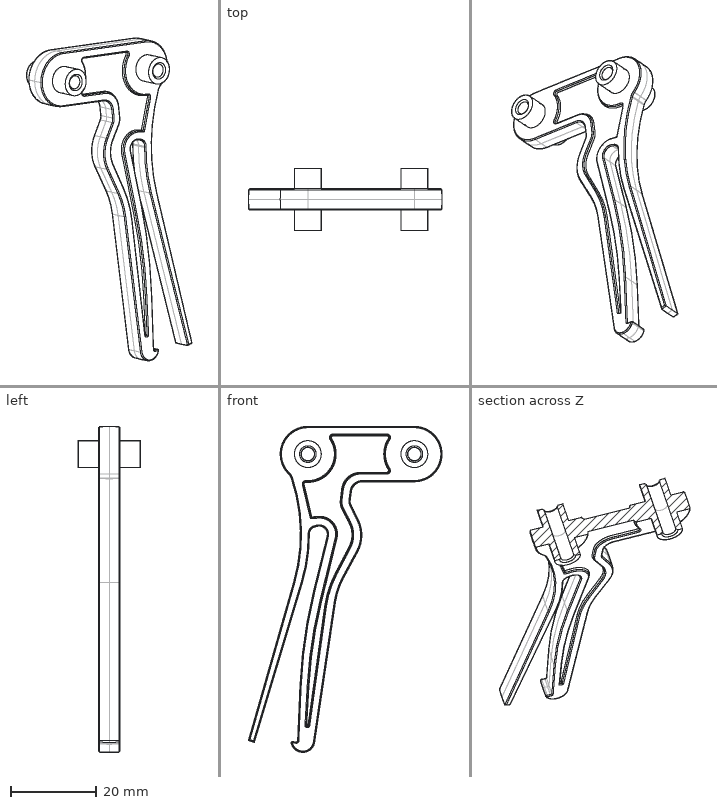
import cadquery as cq
import math

pivot_spacing = 25.0
head_radius = 6.5
head_left_sweep = math.radians(136.0)
body_thickness = 5.0
overall_width = 14.6
body_draft = 1.0
edge_chamfer = 0.25

pivot_radius = 3.15
bore_radius = 1.55
bore_countersink = 0.4

pocket_depth = 0.7
pocket_rim_chamfer = 0.25
pocket_draft = 20.0
pocket_half_height = 4.27
pocket_boss_radius = 6.65
pocket_right_arc_inset = 0.55
pocket_corner_radius = 0.4

hook_radius = 2.8
hook_bottom = -70.0

half_thickness = body_thickness / 2
half_width = overall_width / 2
head_end = pivot_spacing + head_radius
pivot_centers = [(0, 0), (pivot_spacing, 0)]
pocket_arc_centers = (0, pivot_spacing - pocket_right_arc_inset)

body_corners = [
    (-head_radius * math.tan(head_left_sweep / 2), head_radius, head_radius),
    (-4.09, -5.08, 2.15),
    (0.14, -17.87, 41.3),
    (-13.95, -67.2, 0),
    (-12.55, -67.65, 0),
    (0.39, -24.59, 37.9),
    (0.36, -17.47, 1.6),
    (5.33, -16.05, 1.95),
    (-1.39, -43.19, 114.0),
    (-2.42, -67.6, 0.3),
    (-4.07, -67.4, 0.35),
    (-3.2, hook_bottom, hook_radius),
    (1.24, hook_bottom, hook_radius),
    (6.93, -31.73, 17.5),
    (13.70, -19.21, 8.15),
    (9.87, -11.41, 1.8),
    (10.51, -head_radius, 2.6),
    (head_end, -head_radius, head_radius),
    (head_end, head_radius, head_radius),
]

pocket_corners = [
    (-1.5, pocket_half_height, 0),
    (-1.5, -4.5, 0),
    (0.93, -14.75, 0),
    (8.23, -14.02, 4.2),
    (0.83, -44.42, 108.0),
    (-0.27, -63.7, 0),
    (0.03, -63.7, 0),
    (4.51, -31.67, 23.8),
    (11.12, -18.97, 6.15),
    (7.47, -11.92, 3.7),
    (8.42, -pocket_half_height, 4.5),
    (pivot_spacing, -pocket_half_height, 0),
    (pivot_spacing, pocket_half_height, 0),
]


def unit(start, end):
    length = math.dist(start, end)
    return ((end[0] - start[0]) / length, (end[1] - start[1]) / length)


def corner_arc(before, corner, after):
    """Start, middle and end of the arc that rounds one corner."""
    point, radius = corner[:2], corner[2]
    back = unit(point, before[:2])
    ahead = unit(point, after[:2])
    half_angle = math.acos(back[0] * ahead[0] + back[1] * ahead[1]) / 2
    bisector = unit((0, 0), (back[0] + ahead[0], back[1] + ahead[1]))
    tangent = radius / math.tan(half_angle)
    to_middle = radius / math.sin(half_angle) - radius

    def along(direction, distance):
        return (point[0] + direction[0] * distance, point[1] + direction[1] * distance)

    return along(back, tangent), along(bisector, to_middle), along(ahead, tangent)


def rounded_outline(corners):
    """Closed wire of straight lines with every corner rounded to its own radius."""
    count = len(corners)
    arcs = [
        corner_arc(corners[i - 1], corners[i], corners[(i + 1) % count]) for i in range(count)
    ]
    edges = []
    for i, (start, middle, end) in enumerate(arcs):
        previous_end = arcs[i - 1][2]
        if math.dist(previous_end, start) > 1e-3:
            edges.append(cq.Edge.makeLine(cq.Vector(*previous_end), cq.Vector(*start)))
        else:
            start = previous_end
        if corners[i][2] > 0:
            edges.append(cq.Edge.makeThreePointArc(*[cq.Vector(*p) for p in (start, middle, end)]))
    return cq.Wire.assembleEdges(edges)


def prism(outline, height, taper):
    return cq.Solid.extrudeLinear(cq.Face.makeFromWires(outline), cq.Vector(0, 0, height), taper=taper)


def body_half():
    straight = prism(rounded_outline(body_corners), half_thickness, body_draft)
    return cq.Workplane(straight).faces(">Z").chamfer(edge_chamfer)


def pocket_floor():
    """Pocket floor, leaving round material around both pivots and rounding the corners it makes."""
    outline = rounded_outline(pocket_corners)
    floor = cq.Sketch().face(outline)
    for x in pocket_arc_centers:
        floor = floor.push([(x, 0)]).circle(pocket_boss_radius, mode="s").reset()
    face = max(floor._faces.Faces(), key=lambda piece: piece.Area())

    def on_boss_arc(vertex):
        return any(
            abs(math.hypot(vertex.X - x, vertex.Y) - pocket_boss_radius) < 1e-3 for x in pocket_arc_centers
        )

    return face.fillet2D(pocket_corner_radius, [v for v in face.Vertices() if on_boss_arc(v)])


def pocket():
    """Pocket with drafted walls and a chamfered rim, opening at the side face."""
    wall_height = pocket_depth - pocket_rim_chamfer
    walls = cq.Solid.extrudeLinear(pocket_floor(), cq.Vector(0, 0, wall_height), taper=-pocket_draft)
    walls = cq.Workplane(walls)
    rim = prism(walls.faces(">Z").val().outerWire(), pocket_rim_chamfer, -45)
    return walls.union(rim).translate((0, 0, half_thickness - pocket_depth))


def pivot_bosses():
    return cq.Workplane("XY").pushPoints(pivot_centers).circle(pivot_radius).extrude(half_width)


def bores():
    """Straight bores with a countersunk mouth."""
    straight = cq.Workplane("XY").pushPoints(pivot_centers).circle(bore_radius).extrude(half_width)
    mouth_radius = bore_radius + bore_countersink
    mouth = cq.Solid.makeCone(bore_radius, mouth_radius, bore_countersink)
    for x, y in pivot_centers:
        straight = straight.union(mouth.translate(cq.Vector(x, y, half_width - bore_countersink)))
    return straight


def lever_half():
    return body_half().cut(pocket()).union(pivot_bosses()).cut(bores())


half = lever_half()
lever = half.union(half.mirror("XY"), clean=False)
result = lever.rotate((0, 0, 0), (1, 0, 0), 90)